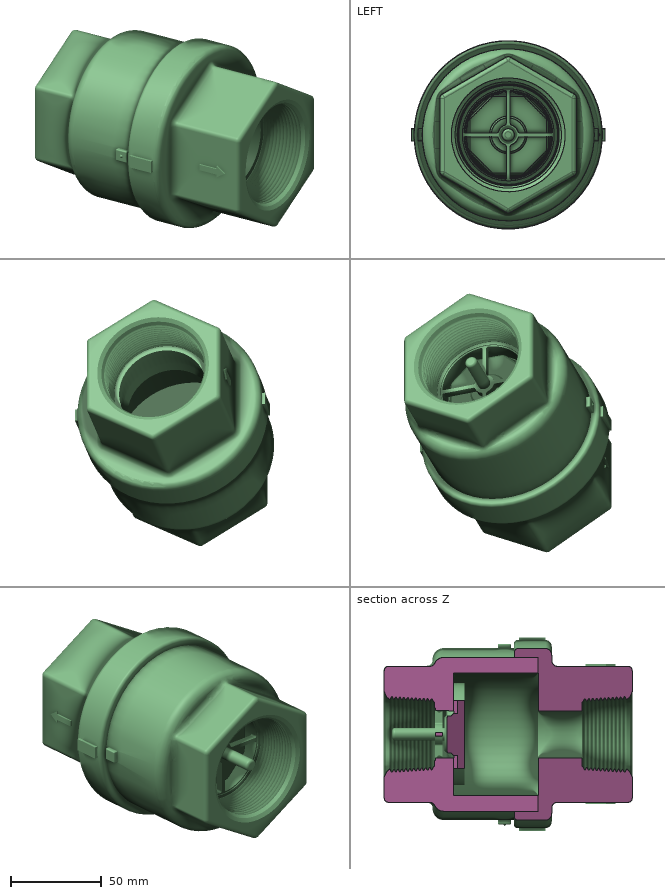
import cadquery as cq
import math


length = 137.3

hex_flats = 75.5
hex_edge_radius = 2.7
hex_end_radius = 2.5
hex_joint_radius = 3.0
hex_embed = 8.2
edge_margin = 0.1

barrel_diameter = 95.0
barrel_start = 27.0
barrel_round = 6.0
chamber_diameter = 79.4

flange_diameter = 103.9
flange_start = 72.0
flange_end = 92.8
flange_inner_round = 1.9
flange_outer_round = 3.6
socket_end = 85.1

port_depth = 27.7
mouth_diameter = 62.9
chamfer_diameter = 58.8
chamfer_depth = 1.4
thread_start_diameter = 56.4
thread_end_diameter = 54.6
thread_pitch = 2.2
groove_count = 11
thread_runout = 0.3
thread_start = port_depth - thread_runout - groove_count * thread_pitch
thread_depth = 1.4
recess_diameter = 50.8
recess_depth = 0.5
passage_diameter = 49.1

spider_start = port_depth + recess_depth
spider_thickness = 4.1
spoke_count = 4
spoke_width = 2.2
spoke_root_radius = 1.0
hub_diameter = 11.4
hub_joint_radius = 1.1

seat = 38.5
stem_diameter = 6.9
stem_tip = 4.7
stem_tip_round = 1.6
boss_diameter = 20.7
boss_top_diameter = 18.7
boss_height = 1.0
head_start = 34.6
head_flats = 42.1
head_middle_flats = 44.2
head_base_flats = 46.3
head_front_step = 0.5
head_back_step = 1.9
plug_tip_diameter = 46.7
plug_diameter = 48.0
disc_diameter = 56.4
disc_thickness = 4.1
seal_thickness = 2.0

bar_start = 74.7
bar_width = 6.9
bar_span = 107.0
nub_start = 63.0
nub_length = 7.3
nub_width = 6.9
nub_height = 2.3
nub_round = 0.7
tip_diameter = 1.9
tip_height = 0.8
tip_position = 66.9
arrow_start = 111.5
arrow_length = 16.5
arrow_head_length = 5.2
arrow_head_width = 6.9
arrow_shaft_width = 3.3
arrow_height = 1.0
arrow_embed = 0.7


def cylinder(diameter, start, end):
    """Cylinder on the X axis between two X positions."""
    return cq.Workplane("YZ", origin=(start, 0, 0)).circle(diameter / 2).extrude(end - start)


def cone(start_diameter, end_diameter, start, end):
    """Cone frustum on the X axis between two X positions."""
    rim = [(start, 0), (start, start_diameter / 2), (end, end_diameter / 2), (end, 0)]
    return cq.Workplane("XY").polyline(rim).close().revolve(360, (0, 0, 0), (1, 0, 0))


def hex_end(end):
    """Hexagonal bar from X = 0, corners up and down, rounded along its edges and its outer rim."""
    corner_diameter = hex_flats / math.cos(math.pi / 6)
    bar = cq.Workplane("YZ").transformed(rotate=(0, 0, 90)).polygon(6, corner_diameter).extrude(end)
    return bar.edges("|X").fillet(hex_edge_radius).faces("<X").edges().fillet(hex_end_radius)


def port_cutter():
    """Space inside a threaded port that opens at X = 0: mouth chamfer, lead-in and tapered thread."""
    def crest_radius(x):
        share = (x - thread_start) / (port_depth - thread_start)
        return (thread_start_diameter + share * (thread_end_diameter - thread_start_diameter)) / 2

    outline = [
        (0, 0),
        (0, mouth_diameter / 2),
        (chamfer_depth, chamfer_diameter / 2),
        (thread_start, thread_start_diameter / 2),
    ]
    for i in range(groove_count):
        root = thread_start + (i + 0.5) * thread_pitch
        crest = thread_start + (i + 1) * thread_pitch
        outline.append((root, crest_radius(root) + thread_depth))
        outline.append((crest, crest_radius(crest)))
    outline += [(port_depth, thread_end_diameter / 2), (port_depth, 0)]
    return cq.Workplane("XY").polyline(outline).close().revolve(360, (0, 0, 0), (1, 0, 0))


def to_outlet(shape):
    """Mirror an inlet feature to the outlet end."""
    return shape.mirror("YZ", (length / 2, 0, 0))


def distance_from_axis(edge):
    """Distance from the X axis to the middle of an edge."""
    return math.hypot(edge.Center().y, edge.Center().z)


def spider():
    """Hub on spokes that guides the stem, with rounded joints at the hub and at the passage wall."""
    end = spider_start + spider_thickness
    passage = cylinder(passage_diameter, spider_start, end)
    windows = passage.cut(cylinder(hub_diameter, spider_start, end))
    for i in range(spoke_count // 2):
        spoke = cq.Workplane("XY").box(spider_thickness, passage_diameter, spoke_width)
        spoke = spoke.translate((spider_start + spider_thickness / 2, 0, 0))
        windows = windows.cut(spoke.rotate((0, 0, 0), (1, 0, 0), i * 360 / spoke_count))
    middle_radius = (hub_diameter + passage_diameter) / 4
    corners = windows.edges("|X").vals()
    hub_corners = [edge for edge in corners if distance_from_axis(edge) < middle_radius]
    wall_corners = [edge for edge in corners if distance_from_axis(edge) > middle_radius]
    windows = windows.newObject(hub_corners).fillet(hub_joint_radius)
    windows = windows.newObject(wall_corners).fillet(spoke_root_radius)
    return passage.cut(windows).cut(cylinder(stem_diameter, spider_start, end))


def nub(side):
    """Rounded block on the barrel; side is -1 for -Y and 1 for +Y."""
    block = cq.Workplane("XY").box(nub_length, 2 * nub_height, nub_width)
    block = block.edges().fillet(nub_round)
    return block.translate((nub_start + nub_length / 2, side * barrel_diameter / 2, 0))


def nub_tip():
    """Small cone on the -Y nub."""
    nub_top = barrel_diameter / 2 + nub_height
    outline = [(0, 0), (tip_diameter / 2, 0), (0, tip_height)]
    tip = cq.Workplane("XY").polyline(outline).close().revolve(360, (0, 0, 0), (0, 1, 0))
    return tip.rotate((0, 0, 0), (1, 0, 0), 180).translate((tip_position, -nub_top, 0))


def arrows():
    """Flow arrows raised on the two side flats of the cap, pointing to the outlet."""
    tip = arrow_start + arrow_length
    neck = tip - arrow_head_length
    half = [
        (arrow_start, arrow_shaft_width / 2),
        (neck, arrow_shaft_width / 2),
        (neck, arrow_head_width / 2),
    ]
    outline = half + [(tip, 0)] + [(x, -z) for x, z in reversed(half)]
    reach = hex_flats / 2 + arrow_height
    arrow = cq.Workplane("XZ").polyline(outline).close().extrude(reach, both=True)
    return arrow.cut(cq.Workplane("XY").box(3 * length, hex_flats - 2 * arrow_embed, length))


def make_housing():
    barrel = cylinder(barrel_diameter, barrel_start, socket_end)
    barrel = barrel.faces("<X").edges().fillet(barrel_round)
    body = barrel.union(hex_end(barrel_start + hex_embed))
    joint = cq.selectors.BoxSelector(
        (barrel_start - edge_margin, -barrel_diameter, -barrel_diameter),
        (barrel_start + barrel_round / 2, barrel_diameter, barrel_diameter),
    )
    body = body.edges(joint).fillet(hex_joint_radius)
    for side in (-1, 1):
        body = body.union(nub(side))
    body = body.union(nub_tip())
    body = body.cut(port_cutter())
    body = body.cut(cylinder(recess_diameter, port_depth, spider_start))
    body = body.cut(cylinder(passage_diameter, spider_start, seat))
    body = body.cut(cylinder(chamber_diameter, seat, socket_end))
    return body.union(spider())


def make_cap():
    flange = cylinder(flange_diameter, flange_start, flange_end)
    flange = flange.faces("<X").edges().fillet(flange_inner_round)
    flange = flange.faces(">X").edges().fillet(flange_outer_round)
    body = flange.union(to_outlet(hex_end(length - flange_end + hex_embed)))
    joint = cq.selectors.BoxSelector(
        (flange_end - edge_margin, -hex_flats, -hex_flats),
        (flange_end + edge_margin, hex_flats, hex_flats),
    )
    body = body.edges(joint).fillet(hex_joint_radius)
    bar_length = flange_end - flange_outer_round - bar_start
    bars = cq.Workplane("XY").box(bar_length, bar_span, bar_width)
    body = body.union(bars.translate((bar_start + bar_length / 2, 0, 0))).union(arrows())
    body = body.cut(cylinder(barrel_diameter, flange_start, socket_end))
    body = body.cut(cylinder(passage_diameter, socket_end, length - port_depth))
    return body.cut(to_outlet(port_cutter()))


def octagon_frustum(start_flats, end_flats, start, end):
    """Octagonal frustum on the X axis, flats facing Y and Z."""
    section = cq.Workplane("YZ", origin=(start, 0, 0)).transformed(rotate=(0, 0, 22.5))
    scale = 1 / math.cos(math.pi / 8)
    section = section.polygon(8, start_flats * scale).workplane(offset=end - start)
    return section.polygon(8, end_flats * scale).loft(ruled=True)


def make_poppet():
    stem = cylinder(stem_diameter, stem_tip, head_start).faces("<X").edges().fillet(stem_tip_round)
    boss = cone(boss_top_diameter, boss_diameter, head_start - boss_height, head_start)
    middle = head_start + head_front_step
    base = middle + head_back_step
    head = octagon_frustum(head_flats, head_middle_flats, head_start, middle)
    head = head.union(octagon_frustum(head_middle_flats, head_base_flats, middle, base))
    head = head.intersect(cylinder(plug_tip_diameter, head_start, base))
    plug = cone(plug_tip_diameter, plug_diameter, base, seat)
    seal_end = seat + seal_thickness
    core = cylinder(plug_diameter, seat, seal_end)
    disc = cylinder(disc_diameter, seal_end, seal_end + disc_thickness)
    return stem.union(boss).union(head).union(plug).union(core).union(disc)


def make_seal():
    """Flat ring between the poppet disc and the housing seat."""
    ring = cylinder(disc_diameter, seat, seat + seal_thickness)
    return ring.cut(cylinder(plug_diameter, seat, seat + seal_thickness))


housing = make_housing()
cap = make_cap()
poppet = make_poppet()
seal = make_seal()

result = cq.Compound.makeCompound([housing.val(), cap.val(), poppet.val(), seal.val()])